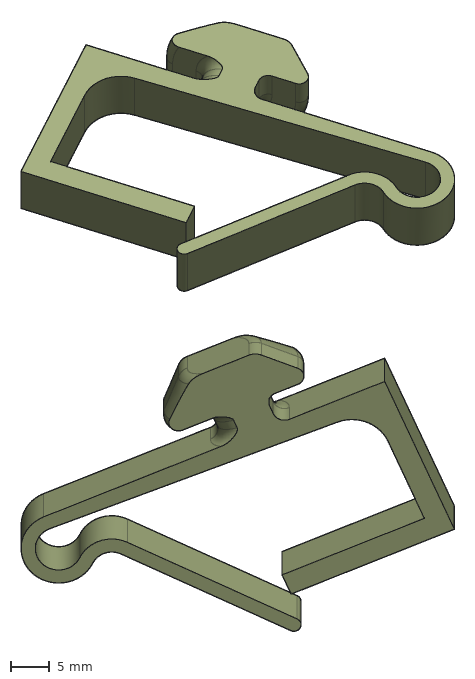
import cadquery as cq
import math

depth = 7.6
length = 52.9
frame_height = 22.7
wall = 2.95
hook_length = 23.0
corner_radius = 5.1

strip = 1.85
bend_outer_radius = 4.85
bend_radius = bend_outer_radius - strip / 2
bend_x = length - bend_outer_radius
bend_y = -bend_outer_radius
reverse_x = 43.0
reverse_top = -6.0
tip_x = 24.4
tip_y = -26.805

stud_x = 19.0
neck_half_width = 3.95
neck_lower_fillet = 1.6
neck_upper_fillet = 1.3
head_bottom = 4.1
head_top = 10.35
head_half_width = 9.8
head_tip_radius = 1.2
head_top_radius = 2.1
stud_root = -1.05


def polar(center, radius, angle):
    return (center[0] + radius * math.cos(angle), center[1] + radius * math.sin(angle))


def make_frame():
    """C-shaped frame whose upper rail tapers down to the strip thickness."""
    body = (
        cq.Workplane("XY")
        .polyline([
            (0, 0),
            (bend_x, 0),
            (bend_x, -strip),
            (wall, -wall),
            (wall, wall - frame_height),
            (hook_length, wall - frame_height),
            (hook_length, -frame_height),
            (0, -frame_height),
        ])
        .close()
        .extrude(depth)
    )
    inner_corner = cq.selectors.NearestToPointSelector((wall, -wall, depth / 2))
    return body.edges(inner_corner).fillet(corner_radius)


def make_spring():
    """Constant-thickness strip: end bend, tangent reverse bend and arm."""
    bend = (bend_x, bend_y)

    dx = bend_x - reverse_x
    drop = bend_y - (reverse_top - strip / 2)
    reverse_radius = (dx**2 + drop**2 - bend_radius**2) / (2 * (bend_radius - drop))
    reverse = (reverse_x, reverse_top - strip / 2 - reverse_radius)
    join_angle = math.atan2(bend_y - reverse[1], dx)

    tip_dx = tip_x - reverse[0]
    tip_dy = tip_y - reverse[1]
    tip_distance = math.hypot(tip_dx, tip_dy)
    arm_angle = math.atan2(tip_dy, tip_dx) - math.acos(reverse_radius / tip_distance)
    arm_angle %= 2 * math.pi

    half = strip / 2
    tip = (tip_x, tip_y)
    bend_end = join_angle - math.pi
    bend_middle = (math.pi / 2 + bend_end) / 2
    reverse_middle = (join_angle + arm_angle) / 2
    outer = bend_radius + half
    inner = bend_radius - half
    upper = reverse_radius + half
    lower = reverse_radius - half
    return (
        cq.Workplane("XY")
        .moveTo(bend_x, 0)
        .threePointArc(polar(bend, outer, bend_middle), polar(bend, outer, bend_end))
        .threePointArc(polar(reverse, lower, reverse_middle), polar(reverse, lower, arm_angle))
        .lineTo(*polar(tip, -half, arm_angle))
        .threePointArc(polar(tip, half, arm_angle + math.pi / 2), polar(tip, half, arm_angle))
        .lineTo(*polar(reverse, upper, arm_angle))
        .threePointArc(polar(reverse, upper, reverse_middle), polar(reverse, upper, join_angle))
        .threePointArc(polar(bend, inner, bend_middle), (bend_x, -strip))
        .close()
        .extrude(depth)
    )


def stud_profile():
    """Right half of the stud outline, with its axis on X = 0, in the mid-depth plane."""
    diagonal = math.sqrt(0.5)
    neck_low = (neck_half_width + neck_lower_fillet, neck_lower_fillet)
    neck_high = (neck_half_width + neck_upper_fillet, head_bottom - neck_upper_fillet)
    head_tip = (head_half_width - head_tip_radius, head_bottom + head_tip_radius)
    slope_start = polar(head_tip, head_tip_radius, math.pi / 4)

    shoulder_y = head_top - head_top_radius
    slope_end_y = shoulder_y + head_top_radius * diagonal
    slope_end_x = slope_start[0] + slope_start[1] - slope_end_y
    shoulder = (slope_end_x - head_top_radius * diagonal, shoulder_y)
    return (
        cq.Workplane("XY")
        .moveTo(0, stud_root)
        .lineTo(neck_low[0], stud_root)
        .lineTo(neck_low[0], 0)
        .threePointArc(polar(neck_low, neck_lower_fillet, -3 * math.pi / 4), (neck_half_width, neck_low[1]))
        .lineTo(neck_half_width, neck_high[1])
        .threePointArc(polar(neck_high, neck_upper_fillet, 3 * math.pi / 4), (neck_high[0], head_bottom))
        .lineTo(head_tip[0], head_bottom)
        .threePointArc(polar(head_tip, head_tip_radius, -math.pi / 8), slope_start)
        .lineTo(slope_end_x, slope_end_y)
        .threePointArc(polar(shoulder, head_top_radius, 3 * math.pi / 8), (shoulder[0], head_top))
        .lineTo(0, head_top)
        .close()
    )


def make_stud():
    """Two opposite quadrants are straight; the other two are turned about the axis."""
    half_depth = depth / 2
    straight = stud_profile().extrude(half_depth)
    slab = cq.Workplane("XY").box(3 * head_half_width, 3 * head_top, depth)
    turned = stud_profile().revolve(90, (0, 0, 0), (0, 1, 0)).intersect(slab)
    one_side = straight.union(turned)
    other_side = one_side.rotate((0, 0, 0), (0, 1, 0), 180)
    return one_side.union(other_side).translate((stud_x, 0, half_depth))


result = make_frame().union(make_spring()).union(make_stud())